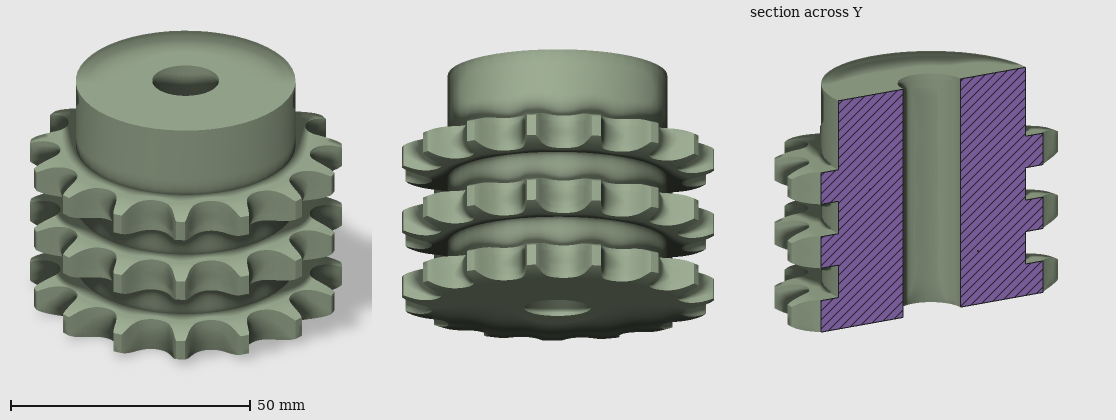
import cadquery as cq
import math


tooth_count = 15
pitch_diameter = 61.05
roller_diameter = 8.5
outer_radius = 65.5 / 2
disc_count = 3
disc_thickness = 7.0
disc_spacing = 2 * disc_thickness
hub_diameter = 46.0
hub_height = 50.0
bore_diameter = 14.0
side_flat_radius = 27.1
side_relief_radius = 12.7
cutter_overrun = 0.65

tooth_angle = 360 / tooth_count
pitch_radius = pitch_diameter / 2
seat_radius = 0.505 * roller_diameter
seat_end_angle = math.radians(35 + 60 / tooth_count)
working_sweep = math.radians(18 - 56 / tooth_count)
topping_angle = math.radians(17 - 64 / tooth_count)
working_offset = 0.8 * roller_diameter
working_radius = working_offset + seat_radius
topping_offset = 1.4 * roller_diameter
straight_length = topping_offset * math.sin(topping_angle) - working_offset * math.sin(working_sweep)
topping_radius = (
    working_offset * math.cos(working_sweep) + topping_offset * math.cos(topping_angle) - working_radius
)


def step(start, distance, angle):
    """Point at a distance from start, with the angle in radians below the +X direction."""
    return (start[0] + distance * math.cos(angle), start[1] - distance * math.sin(angle))


def flank_points():
    """Points up the +X flank of a tooth gap centred on +Y, from the root to the tip corner."""
    seat_center = (0, pitch_radius)
    root = (0, pitch_radius - seat_radius)
    seat_end = step(seat_center, seat_radius, seat_end_angle)

    working_center = step(seat_center, -working_offset, seat_end_angle)
    straight_angle = seat_end_angle - working_sweep
    working_middle = step(working_center, working_radius, seat_end_angle - working_sweep / 2)
    working_end = step(working_center, working_radius, straight_angle)
    straight_end = step(working_end, straight_length, straight_angle - math.pi / 2)

    topping_center = step(straight_end, topping_radius, straight_angle)
    center_distance = math.hypot(*topping_center)
    center_bearing = math.atan2(topping_center[0], topping_center[1])
    corner_offset = math.acos(
        (outer_radius**2 + center_distance**2 - topping_radius**2) / (2 * outer_radius * center_distance)
    )
    corner_bearing = center_bearing - corner_offset
    tip_corner = (outer_radius * math.sin(corner_bearing), outer_radius * math.cos(corner_bearing))
    topping_end_angle = math.atan2(tip_corner[1] - topping_center[1], topping_center[0] - tip_corner[0])
    topping_middle = step(topping_center, -topping_radius, (straight_angle + topping_end_angle) / 2)
    return [root, seat_end, working_middle, working_end, straight_end, topping_middle, tip_corner]


def mirrored(point):
    """Point on the opposite flank of the gap."""
    return (-point[0], point[1])


def gap_cutter():
    """Prism that removes the space between two teeth, centred on +Y."""
    root, seat_end, working_middle, working_end, straight_end, topping_middle, tip_corner = flank_points()
    cutter_top = outer_radius + cutter_overrun
    return (
        cq.Workplane("XY")
        .moveTo(-tip_corner[0], cutter_top)
        .lineTo(*mirrored(tip_corner))
        .threePointArc(mirrored(topping_middle), mirrored(straight_end))
        .lineTo(*mirrored(working_end))
        .threePointArc(mirrored(working_middle), mirrored(seat_end))
        .threePointArc(root, seat_end)
        .threePointArc(working_middle, working_end)
        .lineTo(*straight_end)
        .threePointArc(topping_middle, tip_corner)
        .lineTo(tip_corner[0], cutter_top)
        .close()
        .extrude(disc_thickness)
    )


def relief_drop(reach):
    """Depth of the curved side relief at a radial distance past the flat."""
    return side_relief_radius - math.sqrt(side_relief_radius**2 - reach**2)


def disc_blank():
    """Round disc whose faces curve towards each other near the rim."""
    rim_reach = outer_radius - side_flat_radius
    rim_drop = relief_drop(rim_reach)
    middle_drop = relief_drop(rim_reach / 2)
    middle_radius = side_flat_radius + rim_reach / 2
    return (
        cq.Workplane("XZ")
        .lineTo(side_flat_radius, 0)
        .threePointArc((middle_radius, middle_drop), (outer_radius, rim_drop))
        .lineTo(outer_radius, disc_thickness - rim_drop)
        .threePointArc((middle_radius, disc_thickness - middle_drop), (side_flat_radius, disc_thickness))
        .lineTo(0, disc_thickness)
        .close()
        .revolve(360, (0, 0, 0), (0, 1, 0))
    )


def toothed_disc():
    """Disc with a gap at +Y and a tooth at -Y."""
    disc = disc_blank()
    cutter = gap_cutter()
    for index in range(tooth_count):
        disc = disc.cut(cutter.rotate((0, 0, 0), (0, 0, 1), index * tooth_angle))
    return disc


disc = toothed_disc()
result = cq.Workplane("XY").circle(hub_diameter / 2).extrude(hub_height)
for level in range(disc_count):
    result = result.union(disc.translate((0, 0, level * disc_spacing)))

bore = cq.Workplane("XY").circle(bore_diameter / 2).extrude(hub_height)
result = result.cut(bore)